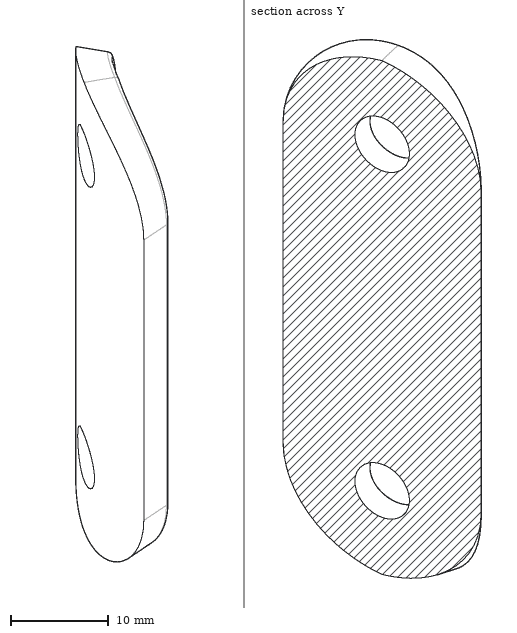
import cadquery as cq
import math

length = 64.0
width = 24.0
outer_radius = 25.0
thickness = 3.7
rim_radius = 0.5
hole_diameter = 6.5
hole_spacing = 43.0

inner_radius = outer_radius - thickness
corner_radius = width / 2
half_angle = math.degrees(math.asin(width / 2 / outer_radius))


def quarter_tube():
    """The x < 0, y < 0 quarter of the tube wall, over the full length."""
    return (
        cq.Workplane("XY", origin=(0, 0, -length / 2))
        .moveTo(0, -outer_radius)
        .lineTo(0, -inner_radius)
        .radiusArc((-inner_radius, 0), inner_radius)
        .lineTo(-outer_radius, 0)
        .radiusArc((0, -outer_radius), -outer_radius)
        .close()
        .extrude(length)
    )


def side_block():
    """Block whose left face lies on the radial side of the plate, with both corners of that face rounded."""
    block = (
        cq.Workplane("XY")
        .box(outer_radius, 2 * outer_radius, length, centered=(False, True, True))
        .edges("<X and |Y")
        .fillet(corner_radius)
    )
    return block.rotate((0, 0, 0), (0, 0, 1), -half_angle)


def curved_plate():
    """Two mirrored halves meeting on the middle plane, each with its corners rounded square to its own side."""
    half = quarter_tube().intersect(side_block())
    return half.union(half.mirror("YZ"))


def round_inner_rim(plate):
    """Round the edge that runs all the way around the concave face."""
    concave_face = plate.faces(cq.selectors.NearestToPointSelector((0, -inner_radius, 0)))
    return concave_face.edges().fillet(rim_radius)


def holes():
    """Two round cutters along Y, running from the tube axis out through the wall."""
    return (
        cq.Workplane("XZ")
        .pushPoints([(0, -hole_spacing / 2), (0, hole_spacing / 2)])
        .circle(hole_diameter / 2)
        .extrude(outer_radius + thickness)
    )


result = round_inner_rim(curved_plate()).cut(holes())